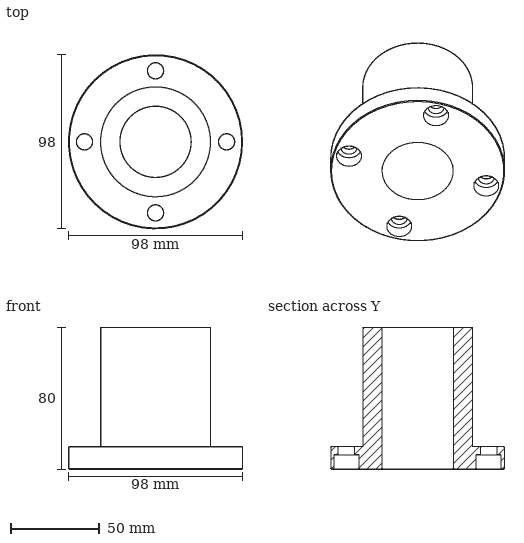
import cadquery as cq

flange_diameter = 98.0
flange_thickness = 13.0

sleeve_diameter = 62.0
bore_diameter = 40.0
total_height = 80.0

flange_chamfer = 0.5
sleeve_rim_radius = 0.25

bolt_count = 4
bolt_circle_diameter = 80.0
bolt_hole_diameter = 9.0
counterbore_diameter = 14.0
counterbore_depth = 8.1


def flange():
    """Disc standing on Z = 0 with both rims chamfered."""
    disc = cq.Workplane("XY").circle(flange_diameter / 2).extrude(flange_thickness)
    return disc.edges().chamfer(flange_chamfer)


def sleeve():
    """Cylinder from the flange base to full height, rounded at its top rim."""
    body = cq.Workplane("XY").circle(sleeve_diameter / 2).extrude(total_height)
    return body.faces(">Z").edges().fillet(sleeve_rim_radius)


def bolt_circle_cylinders(diameter, height):
    """Cylinders rising from Z = 0 at every bolt position."""
    return (
        cq.Workplane("XY")
        .polarArray(bolt_circle_diameter / 2, 0, 360, bolt_count)
        .circle(diameter / 2)
        .extrude(height)
    )


bore = cq.Workplane("XY").circle(bore_diameter / 2).extrude(total_height)

result = (
    flange()
    .union(sleeve())
    .cut(bore)
    .cut(bolt_circle_cylinders(bolt_hole_diameter, flange_thickness))
    .cut(bolt_circle_cylinders(counterbore_diameter, counterbore_depth))
)